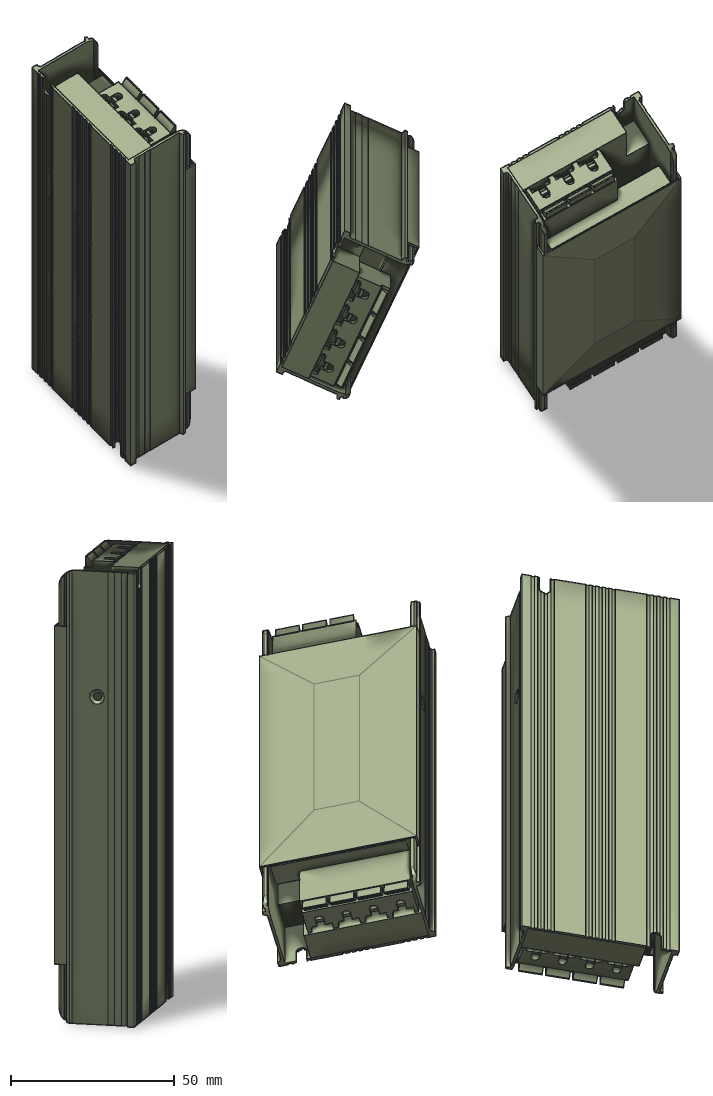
import cadquery as cq

WIDTH = 49.5
HEIGHT = 26.5
LENGTH = 142.2
PROFILE_LENGTH = 141.3
COVER_LENGTH = 105.5
COVER_OFFSET = 0.5
MODULE_LENGTH = COVER_LENGTH
COVER_TOP = 25.0
COVER_BOTTOM = 24.6
COVER_FLAT_WIDTH = 14.2
COVER_FLAT_LENGTH = 63.1
HALF_WIDTH = WIDTH / 2
HALF_MODULE = MODULE_LENGTH / 2
PROFILE_END = PROFILE_LENGTH / 2

FLOOR = 0.9
FLANGE_HEIGHT = 2.0
FLANGE_CHAMFER = 0.5
WALL_OUTER = 23.5
WALL_INNER = 22.6
BAND_PITCH = 2.1
BAND_DEPTH = 0.07
SHELF_ROOT = 19.8
SHELF_EDGE = 20.3
SHELF_TOP = 21.2
CLIP_OUTER = 23.7
CLIP_BEAD = 24.2
CLIP_TOP = 23.9
CLIP_TIP = 23.6
BEAD_ROOT = 21.9
BEAD_BOTTOM = 22.2
BEAD_TOP = 23.0
INNER_GROOVE_DEPTH = 0.3
WALL_CORNER_RADIUS = 5.1

GROOVE_WIDTH = 1.04
GROOVE_DEPTH = 0.3
GROOVE_PITCH = 2 * GROOVE_WIDTH
SIDE_GROOVES_X = 18.2
SIDE_GROOVE_COUNT = 4
MIDDLE_GROOVE_COUNT = 5

NOTCH_X = 17.5
NOTCH_WIDTH = 3.4
NOTCH_DEPTH = 6.1

EARTH_HOLE_Y = 12.0
EARTH_HOLE_Z = 31.5
EARTH_HOLE_RADIUS = 1.3
EARTH_SINK_RADIUS = 2.3

BLOCK_TOP = 9.8
BLOCK_STEP_X = 14.5
MODULE_WIDTH = 42.7
MODULE_BOTTOM = 17.2
MODULE_SIDE_CHAMFER = 0.9
MODULE_END_CHAMFER = 0.4

POLE_PITCH = 8.5
RIGHTMOST_POLE = 2
TERMINAL_MARGIN = 0.3
TERMINAL_TOP = 20.8
SHOULDER_Z = 67.7
NOSE_Z = 70.0
NOSE_TOP = 17.9
LEVER_WIDTH = 7.4
LEVER_TOP = 20.5
LEVER_TIP = 0.4
LEVER_RAMP_Y = 18.3
LEVER_RAMP_Z = 69.1
FOOT_WIDTH = 6.8
FOOT_TOP = 11.8
FOOT_CHAMFER = 0.7
NECK_WIDTH = 2.5
NECK_TOP = 15.5
POCKET_DEPTH = 2.8
WIRE_WIDTH = 4.0
WIRE_TOP = 11.1
WIRE_DEPTH = 8.5
BAR_BOTTOM = 12.7
BAR_TOP = 13.7
BAR_DEPTH = 0.7


def box(x0, x1, y0, y1, z0, z1):
    """Box between opposite corners."""
    return cq.Workplane("XY").box(x1 - x0, y1 - y0, z1 - z0, centered=False).translate((x0, y0, z0))


def half_turn(body):
    """The same shape at the opposite end, turned about the Y axis."""
    return body.rotate((0, 0, 0), (0, 1, 0), 180)


def channel_section():
    """U section with foot flanges, banded walls and cover clips."""
    band_face = WALL_OUTER - BAND_DEPTH
    right_side = [
        (HALF_WIDTH, 0),
        (HALF_WIDTH, FLANGE_HEIGHT),
        (band_face + FLANGE_CHAMFER, FLANGE_HEIGHT),
        (band_face, FLANGE_HEIGHT + FLANGE_CHAMFER),
        (band_face, 2 * BAND_PITCH),
        (WALL_OUTER, 2 * BAND_PITCH),
        (WALL_OUTER, 3 * BAND_PITCH),
        (band_face, 3 * BAND_PITCH),
        (band_face, 4 * BAND_PITCH),
        (WALL_OUTER, 4 * BAND_PITCH),
        (WALL_OUTER, SHELF_ROOT),
        (HALF_WIDTH, SHELF_EDGE),
        (HALF_WIDTH, SHELF_TOP),
        (CLIP_OUTER, SHELF_TOP),
        (CLIP_OUTER, BEAD_ROOT),
        (CLIP_BEAD, BEAD_BOTTOM),
        (CLIP_BEAD, BEAD_TOP),
        (CLIP_TIP, CLIP_TOP),
        (WALL_INNER, CLIP_TOP),
        (WALL_INNER, BEAD_TOP),
        (WALL_INNER + INNER_GROOVE_DEPTH, (BEAD_BOTTOM + BEAD_TOP) / 2),
        (WALL_INNER, BEAD_BOTTOM),
        (WALL_INNER, FLOOR),
    ]
    left_side = [(-x, y) for x, y in reversed(right_side)]
    return cq.Workplane("XY").polyline(right_side + left_side).close()


def base_grooves():
    """Long grooves in the mounting face, in three groups."""
    groups = [
        (-SIDE_GROOVES_X, SIDE_GROOVE_COUNT),
        (0, MIDDLE_GROOVE_COUNT),
        (SIDE_GROOVES_X, SIDE_GROOVE_COUNT),
    ]
    centres = []
    for group_x, count in groups:
        first = group_x - (count - 1) / 2 * GROOVE_PITCH
        centres += [(first + i * GROOVE_PITCH, 0) for i in range(count)]
    return (
        cq.Workplane("XY")
        .pushPoints(centres)
        .rect(GROOVE_WIDTH, 2 * GROOVE_DEPTH)
        .extrude(PROFILE_END, both=True)
    )


def mounting_notch():
    """Round-ended screw notch in the top left of the base plate."""
    radius = NOTCH_WIDTH / 2
    centre_z = PROFILE_END - NOTCH_DEPTH + radius
    straight = box(-NOTCH_X - radius, -NOTCH_X + radius, 0, FLOOR, centre_z, PROFILE_END)
    round_end = cq.Workplane("XZ").center(-NOTCH_X, centre_z).circle(radius).extrude(-FLOOR)
    return straight.union(round_end)


def earth_hole():
    """Countersunk hole through the left wall."""
    axis = cq.Vector(1, 0, 0)
    start = cq.Vector(-WALL_OUTER, EARTH_HOLE_Y, EARTH_HOLE_Z)
    depth = WALL_OUTER - WALL_INNER
    return cq.Workplane(cq.Solid.makeCone(EARTH_SINK_RADIUS, EARTH_HOLE_RADIUS, depth, start, axis))


def make_profile():
    channel = channel_section().extrude(PROFILE_END, both=True)
    side_outline = box(-HALF_WIDTH, HALF_WIDTH, 0, CLIP_TOP, -PROFILE_END, PROFILE_END)
    side_outline = side_outline.edges("|X and >Y").fillet(WALL_CORNER_RADIUS)
    notch = mounting_notch()
    return (
        channel.intersect(side_outline)
        .cut(base_grooves())
        .cut(notch)
        .cut(half_turn(notch))
        .cut(earth_hole())
    )


def raised_bar(plane, half_span, half_flat, bar_length):
    """Bar whose top slopes up from both edges to a level middle."""
    return (
        cq.Workplane(plane)
        .polyline([
            (-half_span, COVER_BOTTOM),
            (-half_span, COVER_TOP),
            (-half_flat, HEIGHT),
            (half_flat, HEIGHT),
            (half_span, COVER_TOP),
            (half_span, COVER_BOTTOM),
        ])
        .close()
        .extrude(bar_length / 2, both=True)
    )


def make_cover():
    """Cover plate, sloping to all four edges, with a skirt outside each wall."""
    half_length = COVER_LENGTH / 2
    across = raised_bar("XY", HALF_WIDTH, COVER_FLAT_WIDTH / 2, COVER_LENGTH)
    along = raised_bar("ZY", half_length, COVER_FLAT_LENGTH / 2, WIDTH)
    cover = across.intersect(along)
    skirt = box(CLIP_BEAD, HALF_WIDTH, SHELF_TOP, COVER_BOTTOM, -half_length, half_length)
    cover = cover.union(skirt).union(half_turn(skirt))
    return cover.translate((0, 0, COVER_OFFSET))


def make_module():
    """Box hanging under the cover."""
    half = MODULE_WIDTH / 2
    module = box(-half, half, MODULE_BOTTOM, COVER_BOTTOM, -HALF_MODULE, HALF_MODULE)
    module = module.edges("|Z and <Y").chamfer(MODULE_SIDE_CHAMFER)
    return module.faces("<Y").edges("|X").chamfer(MODULE_END_CHAMFER)


def make_base_block():
    """Block filling the channel floor, stepped back behind each notch."""
    block = box(-WALL_INNER, WALL_INNER, FLOOR, BLOCK_TOP, -PROFILE_END, PROFILE_END)
    step = box(-WALL_INNER, -BLOCK_STEP_X, FLOOR, BLOCK_TOP, HALF_MODULE, PROFILE_END)
    return block.cut(step).cut(half_turn(step))


def pole_opening(x):
    """Keyhole pocket, wire entry and cross bar of one pole."""
    face = cq.Workplane("XY").workplane(offset=NOSE_Z)
    half_foot = FOOT_WIDTH / 2
    half_neck = NECK_WIDTH / 2
    pocket = (
        face.moveTo(x - half_foot, BLOCK_TOP)
        .lineTo(x - half_foot, FOOT_TOP - FOOT_CHAMFER)
        .lineTo(x - half_foot + FOOT_CHAMFER, FOOT_TOP)
        .lineTo(x - half_neck, FOOT_TOP)
        .lineTo(x - half_neck, NECK_TOP - half_neck)
        .threePointArc((x, NECK_TOP), (x + half_neck, NECK_TOP - half_neck))
        .lineTo(x + half_neck, FOOT_TOP)
        .lineTo(x + half_foot, FOOT_TOP)
        .lineTo(x + half_foot, BLOCK_TOP)
        .close()
        .extrude(-POCKET_DEPTH)
    )
    bar = box(x - half_neck, x + half_neck, BAR_BOTTOM, BAR_TOP, NOSE_Z - POCKET_DEPTH, NOSE_Z - BAR_DEPTH)
    half_wire = WIRE_WIDTH / 2
    wire = box(x - half_wire, x + half_wire, BLOCK_TOP, WIRE_TOP, NOSE_Z - WIRE_DEPTH, NOSE_Z)
    return pocket.cut(bar).union(wire)


def pole_lever(x):
    """Release lever with a sloping end, standing on the shoulder."""
    return (
        cq.Workplane("YZ", origin=(x - LEVER_WIDTH / 2, 0, 0))
        .polyline([
            (NOSE_TOP, SHOULDER_Z),
            (LEVER_TOP, SHOULDER_Z),
            (LEVER_TOP, LENGTH / 2),
            (LEVER_TOP - LEVER_TIP, LENGTH / 2),
            (LEVER_RAMP_Y, LEVER_RAMP_Z),
            (NOSE_TOP, LEVER_RAMP_Z),
        ])
        .close()
        .extrude(LEVER_WIDTH)
    )


def make_terminal(pole_count):
    """Terminal strip at the +Z end, with its poles counted leftwards from the rightmost one."""
    poles = [(RIGHTMOST_POLE - i) * POLE_PITCH for i in range(pole_count)]
    reach = POLE_PITCH / 2 + TERMINAL_MARGIN
    left = min(poles) - reach
    right = max(poles) + reach
    strip = box(left, right, BLOCK_TOP, TERMINAL_TOP, HALF_MODULE, SHOULDER_Z)
    strip = strip.union(box(left, right, BLOCK_TOP, NOSE_TOP, SHOULDER_Z, NOSE_Z))
    for x in poles:
        strip = strip.union(pole_lever(x)).cut(pole_opening(x))
    return strip


profile = make_profile()
cover = make_cover()
module = make_module()
base_block = make_base_block()
output_terminal = make_terminal(3)
input_terminal = half_turn(make_terminal(4))

result = cq.Compound.makeCompound([
    profile.solids().val(),
    cover.solids().val(),
    module.solids().val(),
    base_block.solids().val(),
    output_terminal.solids().val(),
    input_terminal.solids().val(),
])